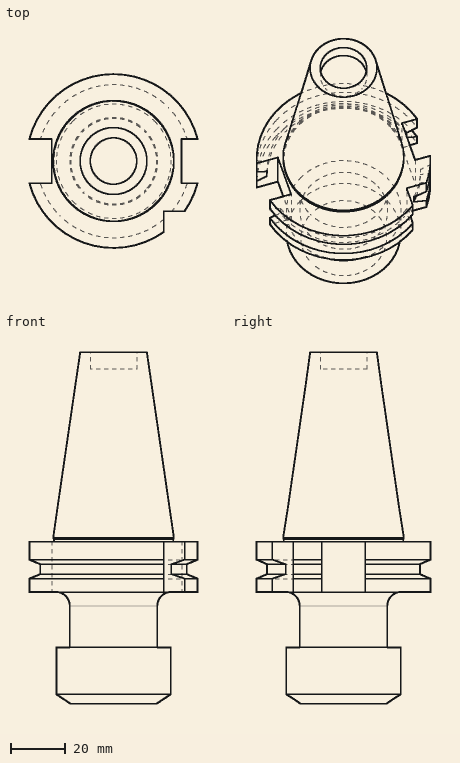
import cadquery as cq
import math

total_height = 128.4

nut_radius = 41.9 / 2
nut_end_radius = 15.7
nut_chamfer_height = 3.5
nut_top = 20.7

neck_radius = 16.0
neck_fillet = 5.0

flange_radius = 63.5 / 2
flange_bottom = 40.8
flange_top = 59.2
groove_radius = 28.0
groove_middle = 49.2
groove_floor_width = 3.6
groove_mouth_width = 6.9

collar_radius = 21.8
collar_top = 60.1
gauge_radius = 22.1
gauge_height = 60.7
taper_ratio = 7 / 24
taper_top_radius = gauge_radius - (total_height - gauge_height) * taper_ratio / 2

bore_radius = 8.5
bore_depth = 6.0

slot_width = 16.0
left_slot_floor = 22.6
right_slot_floor = 24.9
notch_inset = 18.4


def turned_body():
    """Revolve the half outline of nut, neck, flange and taper about Z."""
    fillet_mid_offset = neck_fillet * (1 - math.sqrt(0.5))
    groove_floor_half = groove_floor_width / 2
    groove_mouth_half = groove_mouth_width / 2
    outline = (
        cq.Workplane("XZ")
        .moveTo(0, 0)
        .lineTo(nut_end_radius, 0)
        .lineTo(nut_radius, nut_chamfer_height)
        .lineTo(nut_radius, nut_top)
        .lineTo(neck_radius, nut_top)
        .lineTo(neck_radius, flange_bottom - neck_fillet)
        .threePointArc(
            (neck_radius + fillet_mid_offset, flange_bottom - fillet_mid_offset),
            (neck_radius + neck_fillet, flange_bottom),
        )
        .lineTo(flange_radius, flange_bottom)
        .lineTo(flange_radius, groove_middle - groove_mouth_half)
        .lineTo(groove_radius, groove_middle - groove_floor_half)
        .lineTo(groove_radius, groove_middle + groove_floor_half)
        .lineTo(flange_radius, groove_middle + groove_mouth_half)
        .lineTo(flange_radius, flange_top)
        .lineTo(collar_radius, flange_top)
        .lineTo(collar_radius, collar_top)
        .lineTo(gauge_radius, gauge_height)
        .lineTo(taper_top_radius, total_height)
        .lineTo(0, total_height)
        .close()
    )
    return outline.revolve(360, (0, 0, 0), (0, 1, 0))


def flange_cutter(x_start, x_end, y_start, y_end):
    """Rectangular cutter through the full thickness of the flange."""
    return (
        cq.Workplane("XY", origin=(0, 0, flange_bottom))
        .moveTo(x_start, y_start)
        .lineTo(x_end, y_start)
        .lineTo(x_end, y_end)
        .lineTo(x_start, y_end)
        .close()
        .extrude(flange_top - flange_bottom)
    )


def top_bore():
    return (
        cq.Workplane("XY", origin=(0, 0, total_height - bore_depth))
        .circle(bore_radius)
        .extrude(bore_depth)
    )


half_slot = slot_width / 2
left_slot = flange_cutter(-flange_radius, -left_slot_floor, -half_slot, half_slot)
right_slot = flange_cutter(right_slot_floor, flange_radius, -half_slot, half_slot)
corner_notch = flange_cutter(notch_inset, flange_radius, -flange_radius, -notch_inset)

result = turned_body().cut(left_slot).cut(right_slot).cut(corner_notch).cut(top_bore())